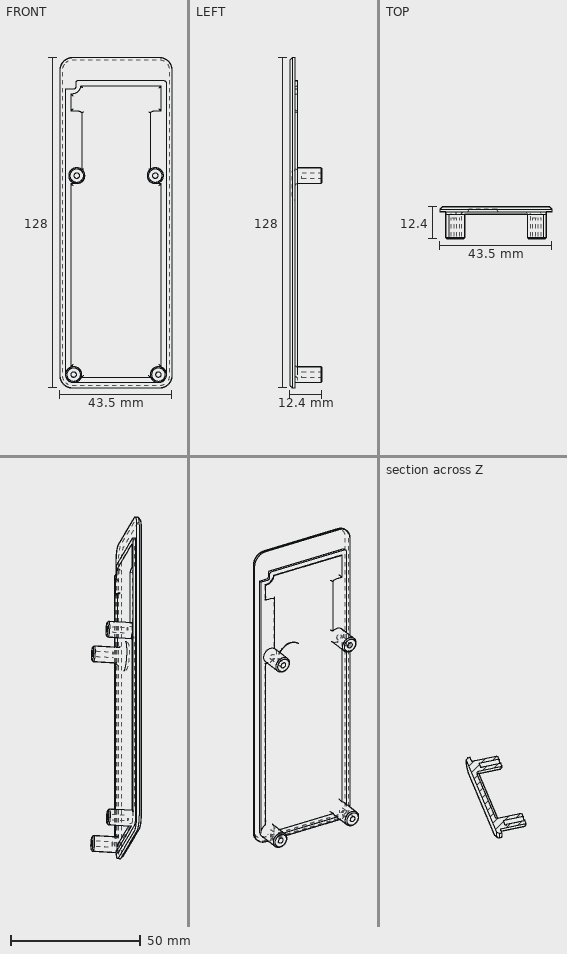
import cadquery as cq
import math

plate_width = 43.5
plate_height = 128.0
plate_thickness = 2.0
plate_corner_radius = 5.0
back_chamfer = 1.0
total_depth = 12.45

ledge_rise = 1.0
ledge_half_width = 19.5
ledge_top = 55.0
ledge_bottom = -61.85
ledge_corner_radius = 1.0
step_x = -15.55
step_z = 51.8
step_radius = 0.8

post_radius = 3.1
post_chamfer = 0.5
post_hole_radius = 1.05
post_hole_depth = 8.0
upper_post_x = 15.2
upper_post_z = 18.25
lower_post_x = ledge_half_width - post_radius
lower_post_z = ledge_bottom + post_radius

pocket_fillet = 0.9
pocket_half_width = 17.45
pocket_waist_half_width = 13.25
pocket_top = 52.95
pocket_bottom = -59.85
shoulder_z = 40.2
notch_x = -17.0
notch_z = 53.3
notch_radius = 3.4

dish_x = -5.1
dish_z = 14.55
dish_wall_radius = 5.6
dish_blend = 0.6
dish_depth = 2 * dish_blend

post_centers = [
    (-upper_post_x, upper_post_z),
    (upper_post_x, upper_post_z),
    (-lower_post_x, lower_post_z),
    (lower_post_x, lower_post_z),
]


def front_plane(depth):
    """XZ plane at the given distance in front of the back face; extrudes toward -Y."""
    return cq.Workplane("XZ", origin=(0, -depth, 0))


def make_plate():
    plate = front_plane(0).rect(plate_width, plate_height).extrude(plate_thickness)
    plate = plate.edges("|Y").fillet(plate_corner_radius)
    return plate.faces(">Y").chamfer(back_chamfer)


def make_ledge():
    """Raised ledge on the plate, with a step at its upper left corner."""
    ledge = (
        front_plane(plate_thickness)
        .moveTo(-ledge_half_width, ledge_bottom)
        .lineTo(ledge_half_width, ledge_bottom)
        .lineTo(ledge_half_width, ledge_top)
        .lineTo(step_x, ledge_top)
        .lineTo(step_x, step_z)
        .lineTo(-ledge_half_width, step_z)
        .close()
        .extrude(ledge_rise)
    )
    ledge = ledge.edges("|Y and <Z").fillet(post_radius)
    rounded_corners = [
        (ledge_half_width, ledge_top, ledge_corner_radius),
        (step_x, ledge_top, step_radius),
        (step_x, step_z, step_radius),
    ]
    for x, z, radius in rounded_corners:
        middle = (x, -plate_thickness - ledge_rise / 2, z)
        corner = cq.selectors.NearestToPointSelector(middle)
        ledge = ledge.edges("|Y").edges(corner).fillet(radius)
    return ledge


def disc(x, z, radius, start, length):
    """Cylinder along -Y, starting at the given distance in front of the back face."""
    return front_plane(start).center(x, z).circle(radius).extrude(length)


def chord_reach(offset):
    """Half chord of a post-sized circle at the given offset from its centre."""
    return math.sqrt(post_radius**2 - offset**2)


def make_half_pocket():
    """Half of the pocket on the +X side; its outline runs around the posts."""
    waist_reach = chord_reach(upper_post_x - pocket_waist_half_width)
    corner_x = lower_post_x - chord_reach(lower_post_z - pocket_bottom)
    corner_z = lower_post_z + chord_reach(pocket_half_width - lower_post_x)
    lower_shelf_z = upper_post_z - post_radius
    upper_shelf_z = shoulder_z + post_radius
    return (
        front_plane(plate_thickness)
        .moveTo(0, pocket_bottom)
        .lineTo(corner_x, pocket_bottom)
        .radiusArc((pocket_half_width, corner_z), post_radius)
        .lineTo(pocket_half_width, lower_shelf_z)
        .lineTo(upper_post_x, lower_shelf_z)
        .radiusArc((pocket_waist_half_width, upper_post_z + waist_reach), post_radius)
        .lineTo(pocket_waist_half_width, shoulder_z + waist_reach)
        .radiusArc((upper_post_x, upper_shelf_z), post_radius)
        .lineTo(pocket_half_width, upper_shelf_z)
        .lineTo(pocket_half_width, pocket_top)
        .lineTo(0, pocket_top)
        .close()
        .extrude(ledge_rise)
    )


def make_pocket():
    half = make_half_pocket()
    pocket = half.union(half.mirror("YZ"))
    pocket = pocket.cut(disc(notch_x, notch_z, notch_radius, plate_thickness, ledge_rise))
    return pocket.faces(">Y").edges().fillet(pocket_fillet)


def make_dish():
    """Revolved cutter: rounded rim running straight into a filleted floor."""
    rim_y = -plate_thickness
    floor_y = rim_y + dish_depth
    bulge = dish_blend * (1 - math.sqrt(0.5))
    return (
        cq.Workplane("XY", origin=(dish_x, 0, dish_z))
        .moveTo(0, rim_y)
        .lineTo(dish_wall_radius + dish_blend, rim_y)
        .threePointArc((dish_wall_radius + bulge, rim_y + bulge), (dish_wall_radius, rim_y + dish_blend))
        .threePointArc((dish_wall_radius - bulge, floor_y - bulge), (dish_wall_radius - dish_blend, floor_y))
        .lineTo(0, floor_y)
        .close()
        .revolve(360, (0, 0), (0, 1))
    )


def make_post(x, z):
    post = disc(x, z, post_radius, plate_thickness, total_depth - plate_thickness)
    return post.faces("<Y").chamfer(post_chamfer)


def make_post_hole(x, z):
    return disc(x, z, post_hole_radius, total_depth - post_hole_depth, post_hole_depth)


result = make_plate().union(make_ledge()).cut(make_pocket()).cut(make_dish())
for post_x, post_z in post_centers:
    result = result.union(make_post(post_x, post_z)).cut(make_post_hole(post_x, post_z))